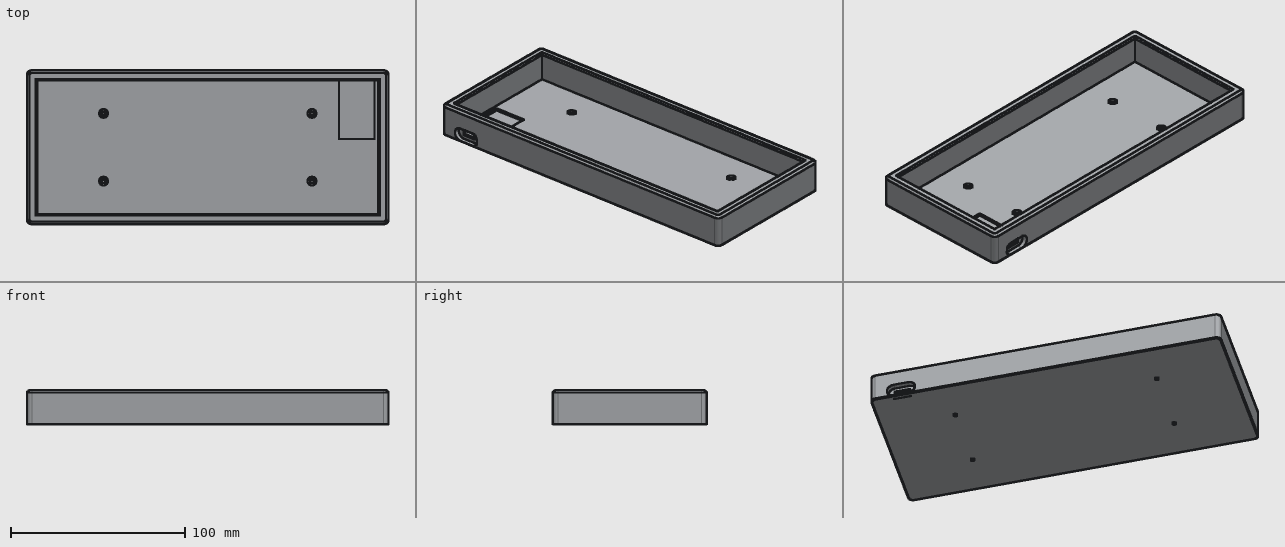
import cadquery as cq

length = 207.5
width = 88.4
height = 20.0
corner_diameter = 6.0
top_chamfer = 1.5
bottom_chamfer = 0.5

wall = 6.0
floor = 3.0
rim_chamfer = 1.0
cavity_length = length - 2 * wall
cavity_width = width - 2 * wall

screw_spacing_x = 119.5
screw_spacing_y = 38.8
screw_diameter = 2.0
screw_head_diameter = 5.0
screw_head_depth = 1.62

board_length = 20.5
board_center_x = 85.5
board_front_y = 4.8
board_floor_depth = 1.35
board_wall_depth = 1.35
board_height = 6.0
board_floor_z = floor - board_floor_depth
board_back_y = cavity_width / 2 + board_wall_depth

slot_length = 9.1
slot_height = 3.3
slot_corner_radius = 0.6
slot_gap = 1.35
slot_center_z = board_floor_z + slot_gap + slot_height / 2

plug_length = 16.5
plug_height = 8.0
plug_depth = 3.3


def make_body():
    body = cq.Workplane("XY").box(length, width, height, centered=(True, True, False))
    body = body.edges("|Z").fillet(corner_diameter / 2)
    body = body.faces(">Z").chamfer(top_chamfer)
    return body.faces("<Z").chamfer(bottom_chamfer)


def cut_cavity(body):
    cavity = (
        cq.Workplane("XY", origin=(0, 0, floor))
        .box(cavity_length, cavity_width, height - floor, centered=(True, True, False))
    )
    rim = (
        cq.Workplane("XY", origin=(0, 0, height))
        .rect(cavity_length + 2 * rim_chamfer, cavity_width + 2 * rim_chamfer)
        .workplane(offset=-rim_chamfer)
        .rect(cavity_length, cavity_width)
        .loft(ruled=True)
    )
    return body.cut(cavity).cut(rim)


def cut_screw_holes(body):
    return (
        body.copyWorkplane(cq.Workplane("XY", origin=(0, 0, floor)))
        .rect(screw_spacing_x, screw_spacing_y, forConstruction=True)
        .vertices()
        .cboreHole(screw_diameter, screw_head_diameter, screw_head_depth)
    )


def cut_board_recess(body):
    recess = (
        cq.Workplane("XY", origin=(board_center_x, board_front_y, board_floor_z))
        .box(board_length, board_back_y - board_front_y, board_height, centered=(True, False, False))
    )
    return body.cut(recess)


def cut_connector_slot(body):
    slot = (
        cq.Workplane("XY", origin=(board_center_x, cavity_width / 2, slot_center_z))
        .box(slot_length, wall, slot_height, centered=(True, False, True))
        .edges("|Y")
        .fillet(slot_corner_radius)
    )
    return body.cut(slot)


def cut_plug_relief(body):
    relief = (
        cq.Workplane("XZ", origin=(board_center_x, width / 2, slot_center_z))
        .slot2D(plug_length, plug_height)
        .extrude(plug_depth)
    )
    return body.cut(relief)


tray = make_body()
tray = cut_cavity(tray)
tray = cut_screw_holes(tray)
tray = cut_board_recess(tray)
tray = cut_connector_slot(tray)
result = cut_plug_relief(tray)